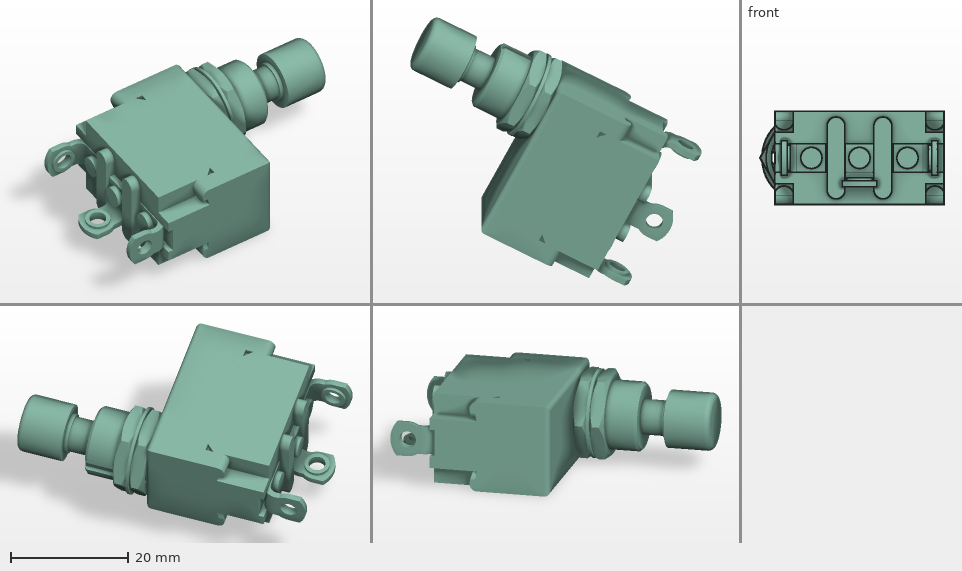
import cadquery as cq
import math


overall_length = 52.6
case_width = 28.95
case_height = 16.0
case_length = 21.1
axis_to_case_edge = 5.45
case_left = -axis_to_case_edge
case_right = case_left + case_width
case_center = case_left + case_width / 2

sheet = 0.85
leg_end = 11.4
tongue_width = 3.15
tongue_bend_inner = 0.45
tongue_bend_y = 8.35
tongue_tilt = 12.0
tongue_tip_z = 4.8
tongue_tip_rise = 1.1

lid_length = 5.25
core_half = case_height / 2 - sheet
lid_front = case_length - sheet
lid_back = lid_front - lid_length
notch_half = 4.4
middle_chamfer = 1.4

rib_width = 3.05
rib_length = 14.0
rib_height = 1.7
rib_offset = 4.0

terminal_pitch = 8.2
terminal_width = 4.85
terminal_sheet = 1.05
terminal_bend_outer = 2.5
outer_reach = 5.15
middle_reach = 4.95
terminal_length = 8.05
tab_hole_distance = 5.0
tab_side_end = 7.0
tab_head_radius = 2.97
tab_hole_radius = 1.445
eyelet_radius = 2.15
eyelet_height = 0.5
rivet_radius = 1.815
rivet_height = 1.0
recess_depth = 0.9

bushing_radius = 6.0
bushing_length = 10.95
bushing_chamfer = 0.45
keyway_width = 1.85
keyway_depth = 0.8
nut_across_flats = 13.9
nut_thickness = 2.45
nut_chamfer = 0.65
washer_radius = 7.7
washer_thickness = 0.5

stem_radius = 3.05
collar_radius = 3.45
collar_length = 0.7
cap_radius = 5.0
cap_rounding = 1.0
cap_back = 36.55
button_end = overall_length - terminal_length


def y_cylinder(radius, y_start, y_end):
    """Cylinder along +Y between two Y positions."""
    return cq.Workplane("XZ", origin=(0, y_start, 0)).circle(radius).extrude(y_start - y_end)


def block(x_start, x_end, y_start, y_end, half_height):
    """Block centered on Z = 0."""
    return (
        cq.Workplane("XY", origin=(0, 0, -half_height))
        .moveTo(x_start, y_start)
        .lineTo(x_end, y_start)
        .lineTo(x_end, y_end)
        .lineTo(x_start, y_end)
        .close()
        .extrude(2 * half_height)
    )


def both_sides(shape):
    """Shape together with its mirror image below Z = 0."""
    return shape.union(shape.mirror("XY"))


bend_center_z = core_half - tongue_bend_inner
bend_outer = tongue_bend_inner + sheet
bend_angle = 90 + tongue_tilt
tilt = math.radians(tongue_tilt)


def bend_point(radius, degrees_turned):
    """Point on the tongue bend, turned from the flat leg towards the tongue."""
    turned = math.radians(degrees_turned)
    return (
        tongue_bend_y - radius * math.sin(turned),
        bend_center_z + radius * math.cos(turned),
    )


def tongue_line_y(radius, z):
    """Y of the tilted straight part of the tongue at height z."""
    y_tangent, z_tangent = bend_point(radius, bend_angle)
    return y_tangent + (z_tangent - z) * math.tan(tilt)


def make_tongue(x_start):
    profile = (
        cq.Workplane("YZ", origin=(x_start, 0, 0))
        .moveTo(leg_end, core_half)
        .lineTo(tongue_bend_y, core_half)
        .threePointArc(
            bend_point(tongue_bend_inner, bend_angle / 2), bend_point(tongue_bend_inner, bend_angle)
        )
        .lineTo(tongue_line_y(tongue_bend_inner, tongue_tip_z), tongue_tip_z)
        .lineTo(tongue_line_y(bend_outer, tongue_tip_z), tongue_tip_z)
        .lineTo(*bend_point(bend_outer, bend_angle))
        .threePointArc(bend_point(bend_outer, bend_angle / 2), bend_point(bend_outer, 0))
        .lineTo(leg_end, case_height / 2)
        .close()
        .extrude(tongue_width)
    )
    tip_outline = (
        cq.Workplane("XZ", origin=(0, leg_end, 0))
        .moveTo(x_start, case_height / 2)
        .lineTo(x_start, tongue_tip_z + tongue_tip_rise)
        .threePointArc(
            (x_start + tongue_width / 2, tongue_tip_z),
            (x_start + tongue_width, tongue_tip_z + tongue_tip_rise),
        )
        .lineTo(x_start + tongue_width, case_height / 2)
        .close()
        .extrude(leg_end)
    )
    return profile.intersect(tip_outline)


def make_bracket():
    channel = block(case_left, case_right, leg_end, case_length, case_height / 2)
    channel = channel.faces(">Y").edges().fillet(sheet)
    bracket = channel.cut(block(case_left, case_right, leg_end, lid_front, core_half))
    for x_start in (case_left, case_right - tongue_width):
        bracket = bracket.union(both_sides(make_tongue(x_start)))
    return bracket


def make_lid():
    return block(case_left, case_right, lid_back, lid_front, core_half)


def make_base_body():
    upper_outline = (
        cq.Workplane("YZ", origin=(case_left, 0, 0))
        .moveTo(0, 0)
        .lineTo(0, notch_half)
        .lineTo(tongue_line_y(tongue_bend_inner, notch_half), notch_half)
        .lineTo(*bend_point(tongue_bend_inner, bend_angle))
        .threePointArc(bend_point(tongue_bend_inner, bend_angle / 2), (tongue_bend_y, core_half))
        .lineTo(lid_back, core_half)
        .lineTo(lid_back, 0)
        .close()
        .extrude(case_width)
    )
    middle = block(
        case_left + tongue_width,
        case_right - tongue_width,
        0,
        leg_end,
        case_height / 2,
    )
    middle = middle.edges("|Z and >Y").chamfer(middle_chamfer)
    return both_sides(upper_outline).union(middle)


def make_rib(x_center):
    return (
        cq.Workplane("XZ", origin=(x_center, 0, 0))
        .slot2D(rib_length, rib_width, 90)
        .extrude(rib_height)
    )


def make_recess():
    """Seat of the -X terminal, open at the side of the case and ending at the rib."""
    recess_end = case_center - rib_offset - rib_width / 2
    return block(case_left, recess_end, 0, recess_depth, terminal_width / 2)


def make_terminal(reach):
    """Terminal with its rivet on the Y axis, its plate back at Y = 0 and its tab on the -X side."""
    bend_start = terminal_bend_outer - reach
    bend_inner = terminal_bend_outer - terminal_sheet
    diagonal = math.sqrt(0.5)
    strip = (
        cq.Workplane("XY", origin=(0, 0, -tab_head_radius))
        .moveTo(terminal_width / 2, 0)
        .lineTo(bend_start, 0)
        .threePointArc(
            (bend_start - terminal_bend_outer * diagonal, terminal_bend_outer * (diagonal - 1)),
            (-reach, -terminal_bend_outer),
        )
        .lineTo(-reach, -terminal_length)
        .lineTo(terminal_sheet - reach, -terminal_length)
        .lineTo(terminal_sheet - reach, -terminal_bend_outer)
        .threePointArc(
            (bend_start - bend_inner * diagonal, bend_inner * diagonal - terminal_bend_outer),
            (bend_start, -terminal_sheet),
        )
        .lineTo(terminal_width / 2, -terminal_sheet)
        .close()
        .extrude(2 * tab_head_radius)
    )
    half_width = terminal_width / 2
    shoulder = math.sqrt(tab_head_radius**2 - half_width**2)
    shoulder_angle = math.atan2(shoulder, half_width) / 2
    shoulder_mid = (
        tab_head_radius * math.sin(shoulder_angle) - tab_hole_distance,
        tab_head_radius * math.cos(shoulder_angle),
    )
    outline = (
        cq.Workplane("YZ", origin=(-reach, 0, 0))
        .moveTo(0, -half_width)
        .lineTo(0, half_width)
        .lineTo(shoulder - tab_hole_distance, half_width)
        .threePointArc(shoulder_mid, (-tab_hole_distance, tab_head_radius))
        .lineTo(-tab_side_end, tab_head_radius)
        .threePointArc((-terminal_length, 0), (-tab_side_end, -tab_head_radius))
        .lineTo(-tab_hole_distance, -tab_head_radius)
        .threePointArc(
            (shoulder_mid[0], -shoulder_mid[1]), (shoulder - tab_hole_distance, -half_width)
        )
        .close()
        .extrude(reach + half_width)
    )
    tab_face = cq.Workplane("YZ", origin=(-reach, -tab_hole_distance, 0))
    eyelet = tab_face.circle(eyelet_radius).extrude(terminal_sheet + eyelet_height)
    tab_hole = tab_face.circle(tab_hole_radius).extrude(terminal_sheet + eyelet_height)
    rivet = y_cylinder(rivet_radius, -terminal_sheet - rivet_height, 0)
    return strip.intersect(outline).union(eyelet).cut(tab_hole).union(rivet)


def make_base():
    center_point = (case_center, 0, 0)
    recess = make_recess()
    base = make_base_body().cut(recess).cut(recess.mirror("YZ", center_point))
    for x_center in (case_center - rib_offset, case_center + rib_offset):
        base = base.union(make_rib(x_center))

    left_terminal = make_terminal(outer_reach).translate((case_center - terminal_pitch, recess_depth, 0))
    right_terminal = left_terminal.mirror("YZ", center_point)
    tab_to_underside = -90
    middle_terminal = make_terminal(middle_reach).rotate((0, 0, 0), (0, 1, 0), tab_to_underside)
    middle_terminal = middle_terminal.translate(center_point)
    for terminal in (left_terminal, right_terminal, middle_terminal):
        base = base.union(terminal)
    return base


def make_bushing():
    end = case_length + bushing_length
    sleeve = y_cylinder(bushing_radius, case_length, end).faces(">Y").chamfer(bushing_chamfer)
    keyway = block(
        -bushing_radius, keyway_depth - bushing_radius, case_length, end, keyway_width / 2
    )
    return sleeve.cut(keyway).cut(y_cylinder(stem_radius, case_length, end))


def make_nut(y_start):
    corner_radius = nut_across_flats / math.sqrt(3)
    flat_radius = nut_across_flats / 2
    hexagon = (
        cq.Workplane("XZ", origin=(0, y_start, 0))
        .polygon(6, 2 * corner_radius)
        .extrude(-nut_thickness)
    )
    bevel = (
        cq.Workplane("XY", origin=(0, y_start, 0))
        .moveTo(0, 0)
        .lineTo(flat_radius, 0)
        .lineTo(corner_radius, nut_chamfer)
        .lineTo(corner_radius, nut_thickness - nut_chamfer)
        .lineTo(flat_radius, nut_thickness)
        .lineTo(0, nut_thickness)
        .close()
        .revolve(360, (0, 0, 0), (0, 1, 0))
    )
    bore = y_cylinder(bushing_radius, y_start, y_start + nut_thickness)
    return hexagon.intersect(bevel).cut(bore)


def make_washer(y_start):
    y_end = y_start + washer_thickness
    return y_cylinder(washer_radius, y_start, y_end).cut(y_cylinder(bushing_radius, y_start, y_end))


def make_button():
    cap = y_cylinder(cap_radius, cap_back, button_end).faces(">Y").edges().fillet(cap_rounding)
    collar = y_cylinder(collar_radius, cap_back - collar_length, cap_back)
    stem = y_cylinder(stem_radius, case_length, cap_back)
    return stem.union(collar).union(cap)


bracket = make_bracket()
lid = make_lid()
base = make_base()
bushing = make_bushing()
washer_start = case_length + nut_thickness
washer = make_washer(washer_start)
nuts = [make_nut(y_start) for y_start in (case_length, washer_start + washer_thickness)]
button = make_button()

result = cq.Compound.makeCompound(
    [
        bracket.val(),
        lid.val(),
        base.val(),
        bushing.val(),
        washer.val(),
        *[nut.val() for nut in nuts],
        button.val(),
    ]
)